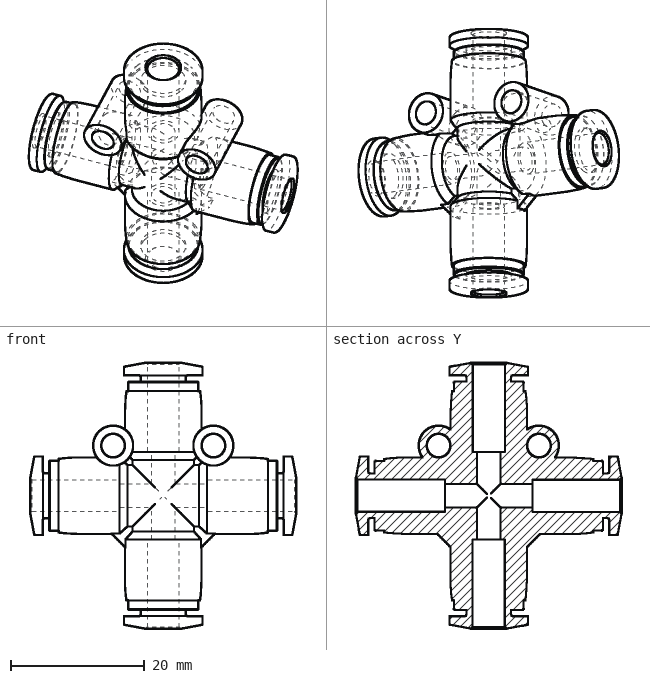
import cadquery as cq
import math


reach = 19.9
button_back = 18.0
collar_front = 17.1
body_front = 15.65
crown_start = 12.65
shoulder_outer = 6.55
core_length = 5.35

core_diameter = 9.4
body_diameter = 11.5
body_front_diameter = 11.05
collar_diameter = 10.5
neck_diameter = 6.76
button_diameter = 11.8
tube_bore_diameter = 4.76
through_bore_diameter = 3.5

collar_chamfer = 0.15
neck_fillet = 0.3
button_fillet = 0.2
button_crown = 0.6
mouth_chamfer = 0.3
tube_bore_floor = shoulder_outer

lug_offset = 7.5
lug_diameter = 6.0
lug_hole_diameter = 3.5
lug_length = body_diameter

web_thickness = 2.0
web_tip = 13.4

arm_angles = [0, 90, 180, 270]


def aim(shape, angle):
    """Turn a shape lying along +Z about the Y axis."""
    return shape.rotate((0, 0, 0), (0, 1, 0), angle)


def make_arm():
    """Solid arm along +Z, revolved from its half profile."""
    core_radius = core_diameter / 2
    body_radius = body_diameter / 2
    collar_radius = collar_diameter / 2
    neck_radius = neck_diameter / 2
    button_radius = button_diameter / 2
    mouth_radius = tube_bore_diameter / 2 + mouth_chamfer

    crown_length = body_front - crown_start
    crown_drop = (body_diameter - body_front_diameter) / 2
    neck_end = button_back - neck_fillet
    profile = (
        cq.Workplane("XZ")
        .moveTo(0, 0)
        .lineTo(core_radius, 0)
        .lineTo(core_radius, core_length)
        .lineTo(body_radius, shoulder_outer)
        .lineTo(body_radius, crown_start)
        .tangentArcPoint((-crown_drop, crown_length))
        .lineTo(collar_radius, body_front)
        .lineTo(collar_radius, collar_front - collar_chamfer)
        .lineTo(collar_radius - collar_chamfer, collar_front)
        .lineTo(neck_radius, collar_front)
        .lineTo(neck_radius, neck_end)
        .tangentArcPoint((neck_fillet, neck_fillet))
        .lineTo(button_radius, button_back)
        .lineTo(button_radius, reach - button_crown)
        .lineTo(mouth_radius, reach)
        .lineTo(0, reach)
        .close()
    )
    arm = profile.revolve(360, (0, 0, 0), (0, 1, 0))
    rim = cq.selectors.NearestToPointSelector((0, 0, reach - button_crown))
    return arm.edges(rim).fillet(button_fillet)


def make_arm_bore():
    """Stepped bore of one arm along +Z, with a chamfered tube entry."""
    tube_radius = tube_bore_diameter / 2
    through_radius = through_bore_diameter / 2
    profile = (
        cq.Workplane("XZ")
        .moveTo(0, 0)
        .lineTo(through_radius, 0)
        .lineTo(through_radius, tube_bore_floor)
        .lineTo(tube_radius, tube_bore_floor)
        .lineTo(tube_radius, reach - mouth_chamfer)
        .lineTo(tube_radius + mouth_chamfer, reach)
        .lineTo(0, reach)
        .close()
    )
    return profile.revolve(360, (0, 0, 0), (0, 1, 0))


def make_web():
    """Diamond-shaped plate centred on the XZ plane."""
    side = web_tip * math.sqrt(2)
    plate = cq.Workplane("XY").box(side, web_thickness, side)
    return aim(plate, 45)


def lug_cylinders(diameter):
    """Cylinders along Y on both lug axes."""
    return (
        cq.Workplane("XZ")
        .pushPoints([(-lug_offset, lug_offset), (lug_offset, lug_offset)])
        .circle(diameter / 2)
        .extrude(lug_length / 2, both=True)
    )


result = make_web()
arm = make_arm()
for angle in arm_angles:
    result = result.union(aim(arm, angle))
result = result.union(lug_cylinders(lug_diameter))
result = result.cut(lug_cylinders(lug_hole_diameter))

arm_bore = make_arm_bore()
for angle in arm_angles:
    result = result.cut(aim(arm_bore, angle))